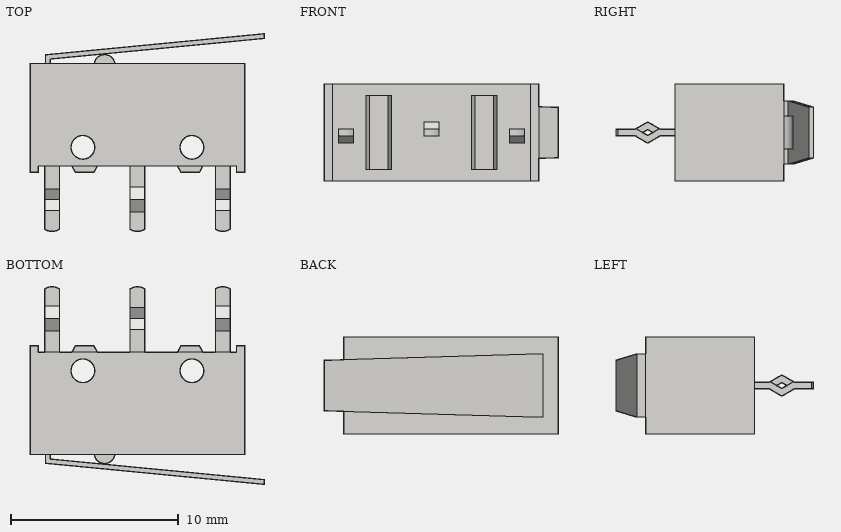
import cadquery as cq
import math


body_length = 12.8
body_height = 6.5
body_width = 5.8
mid_x = body_length / 2
foot_length = 0.5
foot_height = 0.38

hole_diameter = 1.4
hole_spacing = 6.5
hole_y = 1.5

rib_spacing = 6.29
rib_base = 1.51
rib_tip = 1.12
rib_width = 4.43

terminal_pitch = 5.09
terminal_width = 0.9
terminal_thickness = 0.4
terminal_tip_y = -3.52
tip_sagitta = 0.14
kink_y = -1.62
kink_run = 0.7
kink_angle = math.radians(30)

plunger_x = 4.45
plunger_base = 1.23
plunger_rise = 0.53
plunger_width = 1.96

lever_start_x = 0.92
lever_end_x = 13.98
lever_thickness = 0.3
lever_start_y = 7.02
lever_end_y = 8.28
lever_root_width = 3.77
lever_end_width = 3.02


def centred_prism(sketch, width):
    """Extrude a closed XY sketch equally to both sides of Z = 0."""
    return sketch.extrude(width / 2, both=True)


def make_rib(x):
    """Trapezoidal rib from the recessed underside down to foot level."""
    sketch = (
        cq.Workplane("XY")
        .moveTo(x - rib_base / 2, foot_height)
        .lineTo(x - rib_tip / 2, 0)
        .lineTo(x + rib_tip / 2, 0)
        .lineTo(x + rib_base / 2, foot_height)
        .close()
    )
    return centred_prism(sketch, rib_width)


def make_terminal(x, side):
    """Strip with a V-shaped kink toward +Z (side = 1) or -Z (side = -1)."""
    half = terminal_thickness / 2
    bend_shift = half * math.tan(kink_angle / 2)
    kink_rise = kink_run * math.tan(kink_angle)
    peak_half = half / math.cos(kink_angle)
    inner_run = kink_run - bend_shift
    outer_run = kink_run + bend_shift
    strip = (
        cq.Workplane("YZ")
        .polyline([
            (foot_height, side * half),
            (kink_y + outer_run, side * half),
            (kink_y, side * (kink_rise + peak_half)),
            (kink_y - outer_run, side * half),
            (terminal_tip_y, side * half),
            (terminal_tip_y, -side * half),
            (kink_y - inner_run, -side * half),
            (kink_y, side * (kink_rise - peak_half)),
            (kink_y + inner_run, -side * half),
            (foot_height, -side * half),
        ])
        .close()
        .extrude(terminal_width / 2, both=True)
        .translate((x, 0, 0))
    )
    left = x - terminal_width / 2
    right = x + terminal_width / 2
    shoulder_y = terminal_tip_y + tip_sagitta
    outline = (
        cq.Workplane("XY")
        .moveTo(left, foot_height)
        .lineTo(left, shoulder_y)
        .threePointArc((x, terminal_tip_y), (right, shoulder_y))
        .lineTo(right, foot_height)
        .close()
    )
    return strip.intersect(centred_prism(outline, body_width))


def make_housing():
    """Block with end feet, mounting holes, ribs and fixed terminals."""
    recess_length = body_length - 2 * foot_length
    block = cq.Workplane("XY").box(body_length, body_height, body_width)
    block = block.translate((mid_x, body_height / 2, 0))
    recess = cq.Workplane("XY").box(recess_length, foot_height, body_width)
    housing = block.cut(recess.translate((mid_x, foot_height / 2, 0)))
    for side in (-1, 1):
        hole = cq.Workplane("XY").center(mid_x + side * hole_spacing / 2, hole_y).circle(hole_diameter / 2)
        housing = housing.cut(centred_prism(hole, body_width))
        housing = housing.union(make_rib(mid_x + side * rib_spacing / 2))
    for position, kink_side in ((-1, -1), (0, 1), (1, -1)):
        housing = housing.union(make_terminal(mid_x + position * terminal_pitch, kink_side))
    return housing


def make_plunger():
    """Round-topped plunger standing on the housing below the lever."""
    sketch = (
        cq.Workplane("XY")
        .moveTo(plunger_x - plunger_base / 2, body_height)
        .threePointArc(
            (plunger_x, body_height + plunger_rise),
            (plunger_x + plunger_base / 2, body_height),
        )
        .close()
    )
    return centred_prism(sketch, plunger_width)


def make_lever():
    """Bent strip: a short leg and a sloping arm that narrows to its end."""
    slope = (lever_end_y - lever_start_y) / (lever_end_x - lever_start_x)
    leg_inner_x = lever_start_x + lever_thickness
    bend_y = lever_start_y + slope * lever_thickness - lever_thickness
    profile = (
        cq.Workplane("XY")
        .polyline([
            (lever_start_x, body_height),
            (lever_start_x, lever_start_y),
            (lever_end_x, lever_end_y),
            (lever_end_x, lever_end_y - lever_thickness),
            (leg_inner_x, bend_y),
            (leg_inner_x, body_height),
        ])
        .close()
    )
    plan = (
        cq.Workplane("XZ")
        .polyline([
            (lever_start_x, -lever_root_width / 2),
            (leg_inner_x, -lever_root_width / 2),
            (lever_end_x, -lever_end_width / 2),
            (lever_end_x, lever_end_width / 2),
            (leg_inner_x, lever_root_width / 2),
            (lever_start_x, lever_root_width / 2),
        ])
        .close()
        .extrude(-lever_end_y)
    )
    return centred_prism(profile, lever_root_width).intersect(plan)


housing = make_housing()
plunger = make_plunger()
lever = make_lever()

result = cq.Compound.makeCompound([housing.val(), plunger.val(), lever.val()])